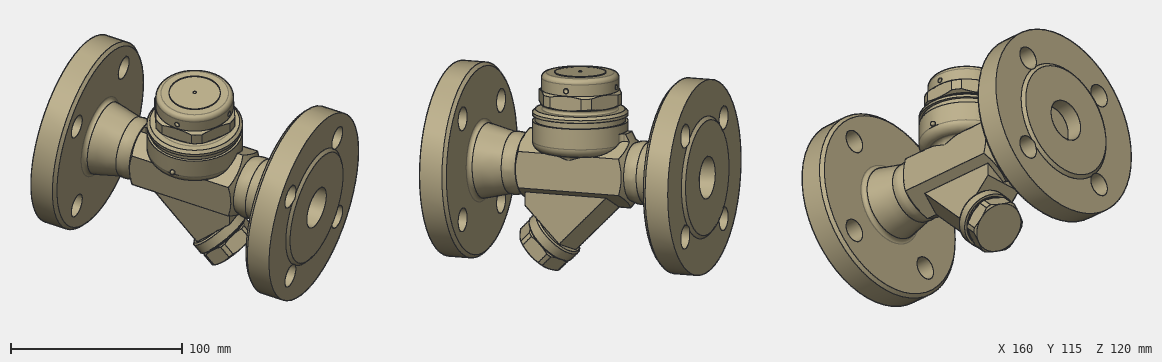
import cadquery as cq
import math

LENGTH = 160.0
HALF_LENGTH = LENGTH / 2
FLANGE_DIA = 115.0
FLANGE_THICKNESS = 18.0
FLANGE_CHAMFER = 2.0
FACE_HEIGHT = 1.8
FACE_DIA = 68.0
FACE_FOOT_DIA = 72.0
BORE_DIA = 25.0
BORE_DEPTH = 10.0
BOLT_CIRCLE_DIA = 85.0
BOLT_HOLE_DIA = 14.0
BOLT_HOLES = 4
HUB_FOOT_RADIUS = 24.5
HUB_FILLET = 2.8
HUB_BIG_RADIUS = 22.2
HUB_SMALL_RADIUS = 18.2
HUB_SMALL_X = 42.5
WELD_PEAK_RADIUS = 18.6
WELD_PEAK_X = 39.0

BLOCK_HALF_LENGTH = 34.2
BLOCK_END_RADIUS = 17.2
BLOCK_FLATS = 37.5
BLOCK_CORNER_RADIUS = BLOCK_FLATS / math.sqrt(3)
END_CONE_ANGLE = 30.0

LUG_WIDTH = 10.0
LUG_TOP_Z = 23.1
LUG_BLEND = 2.6

BOSS_RADIUS = 28.0
BOSS_TOP_Z = 28.3
BOWL_Z = 16.2
BOWL_RADIUS = 5.6
STEM_RADIUS = 18.7
STEM_FILLET = 3.4
NECK_RADIUS = 53.0 / 2
KNOB_DIA = 3.0
KNOB_REACH = 30.0

COVER_Z = 31.8
RIM_STRAIGHT_Z = 33.5
RIM_TOP_Z = 35.2
RIM_BEVEL = 1.7
COVER_GROOVE_RADIUS = 21.1
COVER_HEX_FLATS = 46.0
COVER_HEX_TURNED_RADIUS = 25.0
COVER_HEX_BOTTOM_Z = 37.9
COVER_HEX_TOP_Z = 46.8
COVER_HEX_BOTTOM_RADIUS = 22.4
COVER_HEX_BEVEL_HEIGHT = 1.2
CAP_RADIUS = 45.5 / 2
CAP_TOP_Z = 56.8
CAP_EDGE_RADIUS = 3.0
PAD_RADIUS = 30.0 / 2
PAD_HEIGHT = 0.5
PIP_DIA = 2.0
PIP_TOP_Z = 57.96
VENT_DIA = 3.0
VENT_DEPTH = 2.0
VENT_Z = 49.7
VENTS = 4

LEG_TILT = 45.0
LEG_AXIS_Z = -25.0
LEG_FLATS = 26.0
LEG_TOP_Z = -14.0
LEG_RIGHT_X = 29.6
LEG_END = 19.0
COLLAR_RADIUS = 34.0 / 2
COLLAR_BEVEL = 1.0
COLLAR_LENGTH = 7.2
GROOVE_RADIUS = 15.5
GROOVE_LENGTH = 1.1
PLUG_HEX_FLATS = 30.0
PLUG_HEX_TURNED_RADIUS = 16.5
PLUG_HEX_LENGTH = 9.35
PLUG_BEVEL_HEIGHT = 0.8


def hex_prism(flats, bottom, top):
    """Upright hexagonal prism with two of its flats facing -Y and +Y."""
    corners = flats * 2 / math.sqrt(3)
    return cq.Workplane("XY", origin=(0, 0, bottom)).polygon(6, corners).extrude(top - bottom)


def make_turned(points):
    """Solid of revolution about Z from a closed (radius, height) outline."""
    return cq.Workplane("XZ").polyline(points).close().revolve(360, (0, 0, 0), (0, 1, 0))


def make_flanged_end():
    """Left flange with raised face, weld hub, bolt holes and bore."""
    back_x = HALF_LENGTH - FLANGE_THICKNESS
    front_x = HALF_LENGTH - FACE_HEIGHT
    rim = FLANGE_DIA / 2
    end = (
        cq.Workplane("XY")
        .moveTo(-HALF_LENGTH, 0)
        .lineTo(-HALF_LENGTH, FACE_DIA / 2)
        .lineTo(-front_x, FACE_FOOT_DIA / 2)
        .lineTo(-front_x, rim)
        .lineTo(-back_x - FLANGE_CHAMFER, rim)
        .lineTo(-back_x, rim - FLANGE_CHAMFER)
        .lineTo(-back_x, HUB_FOOT_RADIUS)
        .tangentArcPoint((HUB_FILLET, HUB_BIG_RADIUS - HUB_FOOT_RADIUS))
        .lineTo(-HUB_SMALL_X, HUB_SMALL_RADIUS)
        .threePointArc((-WELD_PEAK_X, WELD_PEAK_RADIUS), (-BLOCK_HALF_LENGTH, BLOCK_END_RADIUS))
        .lineTo(-BLOCK_HALF_LENGTH, 0)
        .close()
        .revolve(360, (0, 0, 0), (1, 0, 0))
    )
    bolt_holes = (
        cq.Workplane("YZ", origin=(-HALF_LENGTH, 0, 0))
        .polarArray(BOLT_CIRCLE_DIA / 2, 180 / BOLT_HOLES, 360, BOLT_HOLES)
        .circle(BOLT_HOLE_DIA / 2)
        .extrude(FLANGE_THICKNESS)
    )
    bore = cq.Workplane("YZ", origin=(-HALF_LENGTH, 0, 0)).circle(BORE_DIA / 2).extrude(BORE_DEPTH)
    return end.cut(bolt_holes).cut(bore)


def make_block():
    """Hexagonal block and roof lug, both turned to a cone at each end."""
    block = (
        cq.Workplane("YZ", origin=(-BLOCK_HALF_LENGTH, 0, 0))
        .polygon(6, 2 * BLOCK_CORNER_RADIUS)
        .extrude(2 * BLOCK_HALF_LENGTH)
        .rotate((0, 0, 0), (1, 0, 0), 90)
    )
    lug = cq.Workplane("XY").box(
        BLOCK_HALF_LENGTH, LUG_WIDTH, LUG_TOP_Z, centered=(False, True, False)
    ).translate((-BLOCK_HALF_LENGTH, 0, 0))
    outer_radius = BLOCK_CORNER_RADIUS + LUG_WIDTH
    cone_length = (outer_radius - BLOCK_END_RADIUS) * math.tan(math.radians(END_CONE_ANGLE))
    turned_x = BLOCK_HALF_LENGTH - cone_length
    envelope = (
        cq.Workplane("XY")
        .polyline([
            (-BLOCK_HALF_LENGTH, 0),
            (-BLOCK_HALF_LENGTH, BLOCK_END_RADIUS),
            (-turned_x, outer_radius),
            (turned_x, outer_radius),
            (BLOCK_HALF_LENGTH, BLOCK_END_RADIUS),
            (BLOCK_HALF_LENGTH, 0),
        ])
        .close()
        .revolve(360, (0, 0, 0), (1, 0, 0))
    )
    return block.union(lug).union(make_lug_flare()).intersect(envelope)


def make_lug_flare():
    """Concave blends between the lug sides and the round boss."""
    side = LUG_WIDTH / 2
    centre_y = side + LUG_BLEND
    centre_x = -math.sqrt((BOSS_RADIUS + LUG_BLEND) ** 2 - centre_y**2)
    contact = BOSS_RADIUS / (BOSS_RADIUS + LUG_BLEND)
    middle_angle = (math.atan2(-centre_y, -centre_x) - math.pi / 2) / 2
    middle = (
        centre_x + LUG_BLEND * math.cos(middle_angle),
        centre_y + LUG_BLEND * math.sin(middle_angle),
    )
    blend = (
        cq.Workplane("XY")
        .moveTo(centre_x, side)
        .threePointArc(middle, (centre_x * contact, centre_y * contact))
        .lineTo(0, side)
        .close()
        .extrude(LUG_TOP_Z)
    )
    return blend.union(blend.mirror("XZ"))


def make_boss():
    """Round seat boss with bowl-shaped underside, filleted stem, narrower neck and a domed knob."""
    bowl_flat_z = BOWL_Z - BOWL_RADIUS
    boss = (
        cq.Workplane("XZ")
        .lineTo(STEM_RADIUS, 0)
        .lineTo(STEM_RADIUS, bowl_flat_z - STEM_FILLET)
        .tangentArcPoint((STEM_FILLET, STEM_FILLET))
        .lineTo(BOSS_RADIUS - BOWL_RADIUS, bowl_flat_z)
        .tangentArcPoint((BOSS_RADIUS, BOWL_Z), relative=False)
        .lineTo(BOSS_RADIUS, BOSS_TOP_Z)
        .lineTo(NECK_RADIUS, BOSS_TOP_Z)
        .lineTo(NECK_RADIUS, COVER_Z)
        .lineTo(0, COVER_Z)
        .close()
        .revolve(360, (0, 0, 0), (0, 1, 0))
    )
    knob = (
        cq.Workplane("XZ", origin=(0, 0, BOWL_Z + KNOB_DIA / 2))
        .circle(KNOB_DIA / 2)
        .extrude(KNOB_REACH - KNOB_DIA / 2)
        .faces("<Y")
        .workplane(centerOption="CenterOfMass")
        .sphere(KNOB_DIA / 2)
    )
    return boss.union(knob)


def make_leg():
    """Strainer leg: square above its axis, half hexagon below, pointing down to the right."""
    half_width = LEG_FLATS / 2
    ridge = LEG_FLATS / math.sqrt(3)
    back = HALF_LENGTH
    tilt = math.radians(LEG_TILT)
    plane = cq.Plane(
        origin=(0, 0, LEG_AXIS_Z),
        xDir=(math.sin(tilt), 0, math.cos(tilt)),
        normal=(math.cos(tilt), 0, -math.sin(tilt)),
    )
    leg = (
        cq.Workplane(plane)
        .workplane(offset=LEG_END - back)
        .polyline([
            (-ridge, 0),
            (-ridge / 2, half_width),
            (back, half_width),
            (back, -half_width),
            (-ridge / 2, -half_width),
        ])
        .close()
        .extrude(back)
    )
    limit = cq.Workplane("XY").box(LENGTH, LENGTH, LENGTH).translate(
        (LEG_RIGHT_X - HALF_LENGTH, 0, LEG_TOP_Z - HALF_LENGTH)
    )
    return leg.intersect(limit)


def make_plug():
    """Strainer plug closing the leg: collar, groove and hexagonal head."""
    hex_z = COLLAR_LENGTH + GROOVE_LENGTH
    end_z = hex_z + PLUG_HEX_LENGTH
    shank = make_turned([
        (0, 0),
        (COLLAR_RADIUS - COLLAR_BEVEL, 0),
        (COLLAR_RADIUS, COLLAR_BEVEL),
        (COLLAR_RADIUS, COLLAR_LENGTH),
        (GROOVE_RADIUS, COLLAR_LENGTH),
        (GROOVE_RADIUS, hex_z),
        (0, hex_z),
    ])
    flat_radius = PLUG_HEX_FLATS / 2
    turned = make_turned([
        (0, hex_z),
        (flat_radius, hex_z),
        (PLUG_HEX_TURNED_RADIUS, hex_z + PLUG_BEVEL_HEIGHT),
        (PLUG_HEX_TURNED_RADIUS, end_z - PLUG_BEVEL_HEIGHT),
        (flat_radius, end_z),
        (0, end_z),
    ])
    plug = shank.union(hex_prism(PLUG_HEX_FLATS, hex_z, end_z).intersect(turned))
    return (
        plug.translate((0, 0, LEG_END))
        .rotate((0, 0, 0), (0, 1, 0), 90 + LEG_TILT)
        .translate((0, 0, LEG_AXIS_Z))
    )


def make_body():
    """Trap body with both flanged ends, seat boss, strainer leg and plug."""
    left_end = make_flanged_end()
    body = make_block().union(left_end).union(left_end.mirror("YZ"))
    return body.union(make_boss()).union(make_leg()).union(make_plug())


def make_cover():
    """Cover with rim, hexagon and rounded cap, seated on the boss neck."""
    groove_z = (RIM_TOP_Z + COVER_HEX_BOTTOM_Z) / 2
    rim = (
        cq.Workplane("XZ")
        .moveTo(0, COVER_Z)
        .lineTo(BOSS_RADIUS, COVER_Z)
        .lineTo(BOSS_RADIUS, RIM_STRAIGHT_Z)
        .lineTo(BOSS_RADIUS - RIM_BEVEL, RIM_TOP_Z)
        .lineTo(COVER_HEX_BOTTOM_RADIUS, RIM_TOP_Z)
        .threePointArc((COVER_GROOVE_RADIUS, groove_z), (COVER_HEX_BOTTOM_RADIUS, COVER_HEX_BOTTOM_Z))
        .lineTo(0, COVER_HEX_BOTTOM_Z)
        .close()
        .revolve(360, (0, 0, 0), (0, 1, 0))
    )
    turned = make_turned([
        (0, COVER_HEX_BOTTOM_Z),
        (COVER_HEX_BOTTOM_RADIUS, COVER_HEX_BOTTOM_Z),
        (COVER_HEX_TURNED_RADIUS, COVER_HEX_BOTTOM_Z + COVER_HEX_BEVEL_HEIGHT),
        (COVER_HEX_TURNED_RADIUS, COVER_HEX_TOP_Z - COVER_HEX_BEVEL_HEIGHT),
        (CAP_RADIUS, COVER_HEX_TOP_Z),
        (0, COVER_HEX_TOP_Z),
    ])
    hexagon = hex_prism(COVER_HEX_FLATS, COVER_HEX_BOTTOM_Z, COVER_HEX_TOP_Z).intersect(turned)
    cap = (
        cq.Workplane("XY", origin=(0, 0, COVER_HEX_TOP_Z))
        .circle(CAP_RADIUS)
        .extrude(CAP_TOP_Z - COVER_HEX_TOP_Z)
        .faces(">Z")
        .edges()
        .fillet(CAP_EDGE_RADIUS)
    )
    pad = cq.Workplane("XY", origin=(0, 0, CAP_TOP_Z)).circle(PAD_RADIUS).extrude(PAD_HEIGHT)
    pip = cq.Workplane("XY", origin=(0, 0, PIP_TOP_Z - PIP_DIA / 2)).sphere(PIP_DIA / 2)
    cover = rim.union(hexagon).union(cap).union(pad).union(pip)
    vent = (
        cq.Workplane("YZ", origin=(CAP_RADIUS - VENT_DEPTH + VENT_DIA / 2, 0, VENT_Z))
        .circle(VENT_DIA / 2)
        .extrude(VENT_DEPTH)
        .faces("<X")
        .workplane(centerOption="CenterOfMass")
        .sphere(VENT_DIA / 2)
    )
    for index in range(VENTS):
        cover = cover.cut(vent.rotate((0, 0, 0), (0, 0, 1), index * 360 / VENTS))
    return cover


body = make_body()
cover = make_cover()
result = cq.Compound.makeCompound([body.solids().val(), cover.solids().val()])